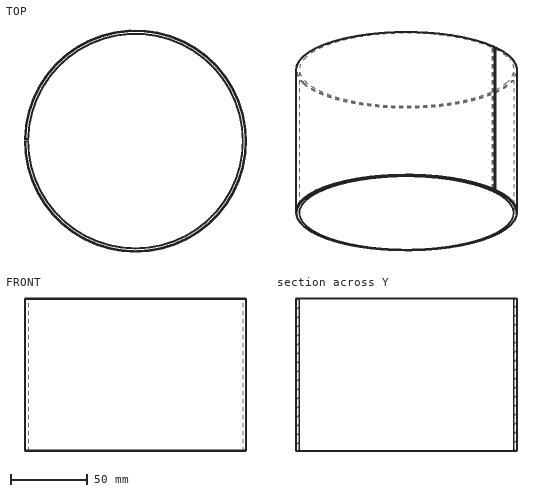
import cadquery as cq

outer_diameter = 145.0
height = 100.0
wall = 2.3
slit_width = 1.3
edge_chamfer = 0.5

outer_radius = outer_diameter / 2
inner_radius = outer_radius - wall


def make_sleeve():
    """Tube with chamfered outer rims and plain inner rims."""
    cylinder = cq.Workplane("XY").circle(outer_radius).extrude(height)
    cylinder = cylinder.faces("<Z or >Z").edges().chamfer(edge_chamfer)
    bore = cq.Workplane("XY").circle(inner_radius).extrude(height)
    return cylinder.cut(bore)


def make_slit():
    """Full-height cutter through the -X wall, with one face on the XZ plane."""
    cutter = cq.Workplane("XY").box(outer_radius, slit_width, height, centered=False)
    return cutter.translate((-outer_radius, 0, 0))


result = make_sleeve().cut(make_slit())